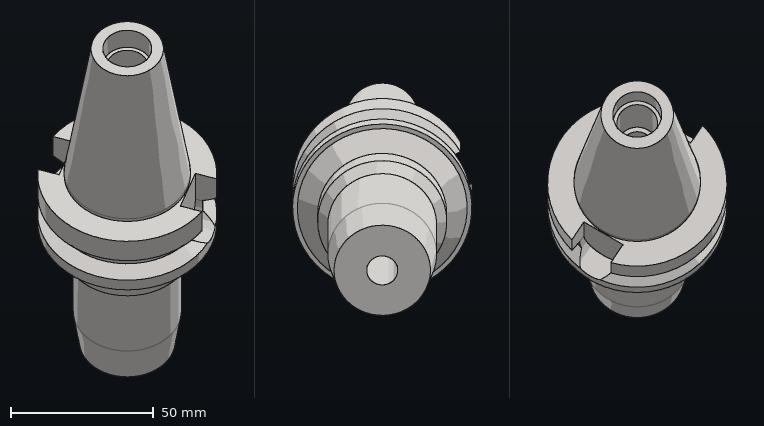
import cadquery as cq

total_height = 155.1
shank_top_radius = 12.7
gauge_radius = 22.2
gauge_z = 90.0

flange_radius = 31.5
flange_top_z = 88.5
flange_lower_z = 62.8
upper_rim_bottom_z = 78.3
lower_rim_top_z = 68.0
groove_radius = 26.5
groove_top_z = 75.0
groove_bottom_z = 71.0
flange_underside_radius = 29.8

collar_radius = 22.6
collar_top_z = 57.0
collar_bottom_z = 49.6
nose_radius = 19.0
nose_top_z = 46.2
nose_taper_z = 16.3
nose_end_radius = 16.9

pilot_radius = 8.5
pilot_depth = 9.0
thread_radius = 7.1
thread_depth = 31.0
through_radius = 5.5

slot_width = 16.1
slot_bottom_z = 66.8
slot_floor_x = 22.5


def holder_body():
    """Revolve the outer half profile, from the nose up to the shank."""
    profile = [
        (0, 0),
        (nose_end_radius, 0),
        (nose_radius, nose_taper_z),
        (nose_radius, nose_top_z),
        (collar_radius, collar_bottom_z),
        (collar_radius, collar_top_z),
        (flange_underside_radius, flange_lower_z),
        (flange_radius, flange_lower_z),
        (flange_radius, lower_rim_top_z),
        (groove_radius, groove_bottom_z),
        (groove_radius, groove_top_z),
        (flange_radius, upper_rim_bottom_z),
        (flange_radius, flange_top_z),
        (gauge_radius, flange_top_z),
        (gauge_radius, gauge_z),
        (shank_top_radius, total_height),
        (0, total_height),
    ]
    return cq.Workplane("XZ").polyline(profile).close().revolve(360, (0, 0), (0, 1))


def bore_from_top(radius, depth):
    """Cylinder reaching down from the top of the shank."""
    return cq.Workplane("XY").workplane(offset=total_height).circle(radius).extrude(-depth)


def drive_slot(side):
    """Round-bottomed slot, open at the rim and at the top of the flange."""
    half_width = slot_width / 2
    arc_center_z = slot_bottom_z + half_width
    return (
        cq.Workplane("YZ")
        .workplane(offset=side * slot_floor_x)
        .moveTo(-half_width, flange_top_z)
        .lineTo(-half_width, arc_center_z)
        .threePointArc((0, slot_bottom_z), (half_width, arc_center_z))
        .lineTo(half_width, flange_top_z)
        .close()
        .extrude(side * flange_radius)
    )


result = holder_body()

for bore_radius, bore_depth in (
    (pilot_radius, pilot_depth),
    (thread_radius, thread_depth),
    (through_radius, total_height),
):
    result = result.cut(bore_from_top(bore_radius, bore_depth))

for slot_side in (-1, 1):
    result = result.cut(drive_slot(slot_side))